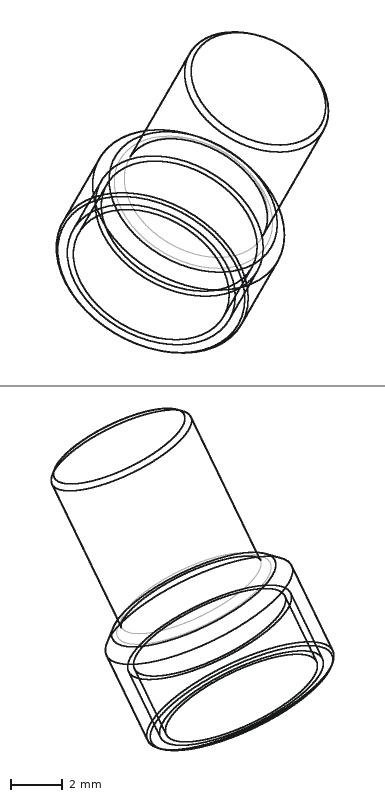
import cadquery as cq

total_length = 11.5
head_diameter = 8.0
shank_diameter = 6.0
head_length = 4.5

front_chamfer = 0.1
shoulder_chamfer = 0.5
neck_fillet = 0.3
shank_end_chamfer = 0.2

ring_outer_diameter = 7.0
disc_diameter = 6.5
recess_depth = 3.0


def cylinder_along_y(diameter, length):
    """Cylinder from the front face towards +Y."""
    return cq.Workplane("XZ").circle(diameter / 2).extrude(-length)


def make_housing():
    """Stepped housing with a blind round recess in its front face."""
    head = (
        cylinder_along_y(head_diameter, head_length)
        .faces("<Y").edges().chamfer(front_chamfer)
        .faces(">Y").edges().chamfer(shoulder_chamfer)
    )
    shank = (
        cylinder_along_y(shank_diameter, total_length)
        .faces(">Y").edges().chamfer(shank_end_chamfer)
    )
    near_neck = cq.selectors.BoxSelector(
        (-head_diameter, head_length - neck_fillet, -head_diameter),
        (head_diameter, head_length + neck_fillet, head_diameter),
    )
    neck_edge = cq.selectors.RadiusNthSelector(0)
    stepped = head.union(shank).edges("%CIRCLE").edges(near_neck).edges(neck_edge).fillet(neck_fillet)
    return stepped.cut(cylinder_along_y(ring_outer_diameter, recess_depth))


def make_ring():
    """Thin sleeve that fills the gap between the recess wall and the disc."""
    sleeve = cylinder_along_y(ring_outer_diameter, recess_depth)
    return sleeve.cut(cylinder_along_y(disc_diameter, recess_depth))


def make_disc():
    """Round disc seated on the recess floor."""
    return cylinder_along_y(disc_diameter, recess_depth)


housing = make_housing()
ring = make_ring()
disc = make_disc()

result = cq.Compound.makeCompound([housing.val(), ring.val(), disc.val()])